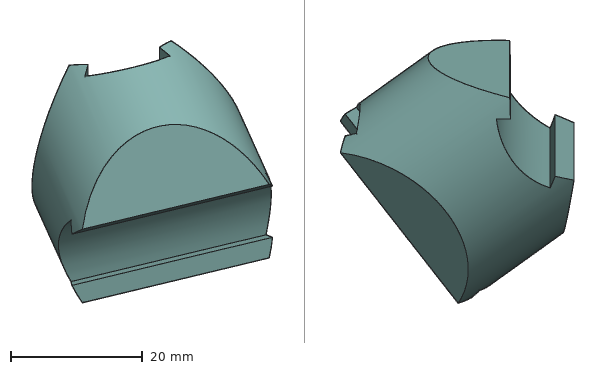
import cadquery as cq

diameter = 34.0
length = 27.03
radius = diameter / 2
half_length = length / 2

tip_height = 8.15
bevel_depth = radius - tip_height
lip_height = 5.68
lip_depth = 1.75
groove_height = 6.8
groove_depth = 3.55
groove_floor_depth = 5.3

margin = 3.4


def wedge_profile(plane):
    """Bar-long prism whose -X end has the beveled, undercut groove."""
    tip = -half_length
    outer_height = radius + margin
    outer_depth = bevel_depth + margin
    return (
        cq.Workplane(plane)
        .moveTo(half_length + margin, outer_height)
        .lineTo(tip + outer_depth, outer_height)
        .lineTo(tip, tip_height)
        .lineTo(tip + lip_depth, lip_height)
        .lineTo(tip + groove_depth, groove_height)
        .threePointArc((tip + groove_floor_depth, 0), (tip + groove_depth, -groove_height))
        .lineTo(tip + lip_depth, -lip_height)
        .lineTo(tip, -tip_height)
        .lineTo(tip + outer_depth, -outer_height)
        .lineTo(half_length + margin, -outer_height)
        .close()
        .extrude(radius + margin, both=True)
    )


bar = cq.Workplane("YZ").circle(radius).extrude(half_length, both=True)

left_end = wedge_profile("XY")
right_end = wedge_profile("XZ").mirror("YZ")

result = bar.intersect(left_end).intersect(right_end)